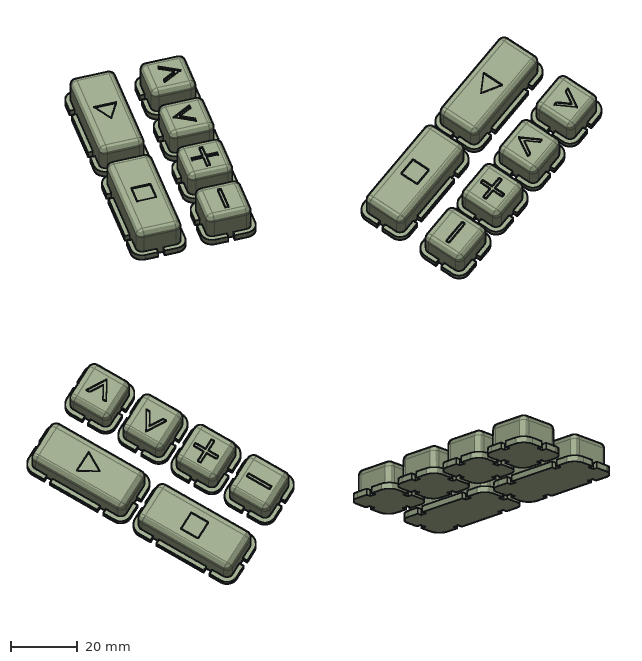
import cadquery as cq
import math

overall_length = 72.8
overall_depth = 39.0
overall_height = 10.0

flange_size = 17.0
flange_height = 2.0
flange_margin = 1.5
notch_width = 2.0

cap_size = flange_size - 2 * flange_margin
cap_edge_radius = 2.0
flange_corner_radius = cap_edge_radius + flange_margin

engraving_depth = 0.5
stroke_width = 1.0
bar_length = 8.0
triangle_side = 7.0
triangle_height = triangle_side * math.sin(math.radians(60))
stop_square_size = 6.0

column_pitch = (overall_length - flange_size) / 3
front_row_y = -(overall_depth - flange_size) / 2
back_row_y = -front_row_y
column_x = [(column - 1.5) * column_pitch for column in range(4)]


def key_blank(columns):
    """Notched flange and rounded cap of a key that spans a number of columns, centred on the origin."""
    extra_length = (columns - 1) * column_pitch
    flange_length = flange_size + extra_length
    cap_length = cap_size + extra_length

    flange = (
        cq.Workplane("XY")
        .box(flange_length, flange_size, flange_height, centered=(True, True, False))
        .edges("|Z")
        .fillet(flange_corner_radius)
    )

    flange = flange.cut(cq.Workplane("XY").box(flange_length, notch_width, 2 * flange_height))
    for column in range(columns):
        notch_x = column * column_pitch - extra_length / 2
        notch = cq.Workplane("XY").center(notch_x, 0).box(notch_width, flange_size, 2 * flange_height)
        flange = flange.cut(notch)

    cap = (
        cq.Workplane("XY")
        .box(cap_length, cap_size, overall_height, centered=(True, True, False))
        .edges("|Z or >Z")
        .fillet(cap_edge_radius)
    )
    return flange.union(cap)


def engraving_plane():
    """Workplane at the floor of the engraved symbols."""
    return cq.Workplane("XY").workplane(offset=overall_height - engraving_depth)


def up_triangle():
    """Equilateral triangle pointing to +Y, with its centroid on the origin."""
    base_y = -triangle_height / 3
    corners = [
        (-triangle_side / 2, base_y),
        (triangle_side / 2, base_y),
        (0, base_y + triangle_height),
    ]
    return engraving_plane().polyline(corners).close().extrude(engraving_depth)


def up_chevron():
    """Triangle without its lower part, leaving two strokes that meet at the top."""
    stroke_drop = stroke_width / math.cos(math.radians(60))
    return up_triangle().cut(up_triangle().translate((0, -stroke_drop, 0)))


def rectangle(length, width):
    """Rectangular symbol centred on the origin."""
    return engraving_plane().rect(length, width).extrude(engraving_depth)


def turned(symbol, angle):
    """Symbol turned counterclockwise about the vertical axis."""
    return symbol.rotate((0, 0, 0), (0, 0, 1), angle)


def engraved_key(columns, symbol, x, y):
    """Finished key with its symbol, moved to its place."""
    return key_blank(columns).cut(symbol).translate((x, y, 0))


minus_symbol = rectangle(bar_length, stroke_width)
plus_symbol = minus_symbol.union(turned(minus_symbol, 90))

square_symbols = [up_chevron(), turned(up_chevron(), 180), plus_symbol, minus_symbol]
square_keys = [
    engraved_key(1, symbol, x, back_row_y)
    for symbol, x in zip(square_symbols, column_x)
]

wide_symbols = [turned(up_triangle(), -90), rectangle(stop_square_size, stop_square_size)]
wide_keys = [
    engraved_key(2, symbol, x, front_row_y)
    for symbol, x in zip(wide_symbols, (-column_pitch, column_pitch))
]

result = cq.Compound.makeCompound([key.val() for key in square_keys + wide_keys])